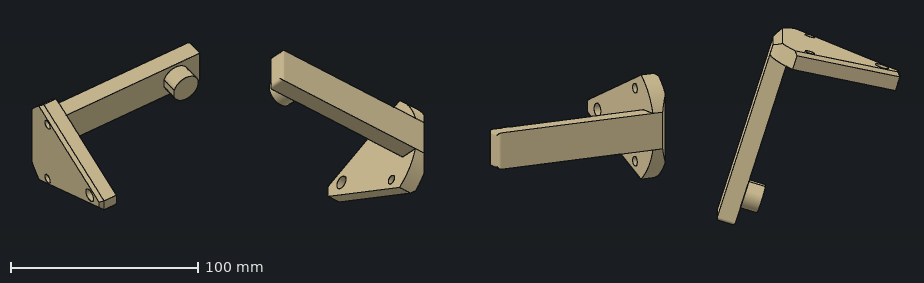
import cadquery as cq
import math

total_length = 105.0
bar_height = 20.1
bar_thickness = 10.3
bar_end_round = 2.0

plate_thickness = 10.0
disc_radius = 36.0
wide_half_height = 28.7
tip_half_height = 3.4
heel_chamfer = 4.0
edge_chamfer = 2.0

small_hole_diameter = 5.0
small_hole_x = 19.3
small_hole_spacing = 40.0
tip_hole_diameter = 7.2
tip_hole_x = 59.6

boss_diameter = 16.0
boss_flat_distance = 7.6
boss_length = 9.8
boss_end_distance = 16.5


def half_chord(offset):
    """Half length of the disc chord at a distance from the disc centre."""
    return math.sqrt(disc_radius**2 - offset**2)


disc_x = half_chord(bar_height / 2)


def front_workplane():
    """XZ workplane on the outer plate face, extruding toward +Y."""
    return cq.Workplane(cq.Plane(origin=(0, 0, 0), xDir=(1, 0, 0), normal=(0, -1, 0)))


def make_plate():
    wide_x = disc_x - half_chord(wide_half_height)
    tip_x = disc_x + half_chord(tip_half_height)
    arc_z = (bar_height / 2 + wide_half_height) / 2
    arc_x = disc_x - half_chord(arc_z)
    plate = (
        front_workplane()
        .moveTo(0, -bar_height / 2)
        .lineTo(0, bar_height / 2)
        .threePointArc((arc_x, arc_z), (wide_x, wide_half_height))
        .lineTo(tip_x, tip_half_height)
        .threePointArc((disc_x + disc_radius, 0), (tip_x, -tip_half_height))
        .lineTo(wide_x, -wide_half_height)
        .threePointArc((arc_x, -arc_z), (0, -bar_height / 2))
        .close()
        .extrude(-plate_thickness)
    )
    outer_edges = cq.selectors.BoxSelector(
        (wide_x + edge_chamfer, -1, -disc_radius), (2 * disc_radius, 1, disc_radius)
    )
    return plate.faces("<Y").edges(outer_edges).chamfer(edge_chamfer)


def make_bar():
    bar = cq.Workplane("XY").box(
        bar_thickness, total_length, bar_height, centered=(False, False, True)
    )
    return bar.faces(">Y").edges().fillet(bar_end_round)


def make_boss():
    """Round boss with a flat on the side that faces the plate."""
    radius = boss_diameter / 2
    flat_half_width = math.sqrt(radius**2 - boss_flat_distance**2)
    return (
        cq.Workplane("YZ", origin=(bar_thickness, total_length - boss_end_distance, 0))
        .moveTo(-boss_flat_distance, -flat_half_width)
        .threePointArc((radius, 0), (-boss_flat_distance, flat_half_width))
        .close()
        .extrude(boss_length)
    )


def make_heel_cutter():
    """Triangular prism that bevels the outer corner where bar and plate meet."""
    return (
        cq.Workplane("XY")
        .polyline([(0, 0), (heel_chamfer, 0), (0, heel_chamfer)])
        .close()
        .extrude(disc_radius, both=True)
    )


def make_hole(x, z, diameter):
    return front_workplane().center(x, z).circle(diameter / 2).extrude(-plate_thickness)


result = make_plate().union(make_bar()).union(make_boss()).cut(make_heel_cutter())
for side in (-1, 1):
    result = result.cut(make_hole(small_hole_x, side * small_hole_spacing / 2, small_hole_diameter))
result = result.cut(make_hole(tip_hole_x, 0, tip_hole_diameter))